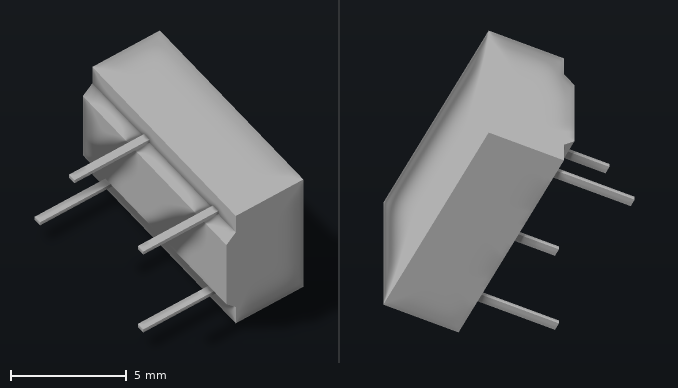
import cadquery as cq

BODY_LENGTH = 10.6
BODY_DEPTH = 3.6
BODY_HEIGHT = 7.0

RAIL_RISE = 0.5
RAIL_BASE_HEIGHT = 4.86
RAIL_TOP_HEIGHT = RAIL_BASE_HEIGHT - 2 * RAIL_RISE

PITCH = 2.54
PIN_WIDTH = 0.4
PIN_THICKNESS = 0.2
PIN_LENGTH = 4.0
PIN_ROOT = 0.5
UPPER_PIN_X = (-0.5 * PITCH, 1.5 * PITCH)
LOWER_PIN_X = (-1.5 * PITCH, 1.5 * PITCH)

PINNED_FACE_Y = 0.0


def make_housing():
    """Block and rail as one profile in YZ, extruded symmetrically along X."""
    back_y = PINNED_FACE_Y + BODY_DEPTH
    rail_y = PINNED_FACE_Y - RAIL_RISE
    profile = [
        (back_y, -BODY_HEIGHT / 2),
        (back_y, BODY_HEIGHT / 2),
        (PINNED_FACE_Y, BODY_HEIGHT / 2),
        (PINNED_FACE_Y, RAIL_BASE_HEIGHT / 2),
        (rail_y, RAIL_TOP_HEIGHT / 2),
        (rail_y, -RAIL_TOP_HEIGHT / 2),
        (PINNED_FACE_Y, -RAIL_BASE_HEIGHT / 2),
        (PINNED_FACE_Y, -BODY_HEIGHT / 2),
    ]
    return cq.Workplane("YZ").polyline(profile).close().extrude(BODY_LENGTH / 2, both=True)


def make_pin(x, z):
    """Straight flat pin centred on (x, z), rooted inside the housing."""
    length = PIN_LENGTH + PIN_ROOT
    center_y = PINNED_FACE_Y + PIN_ROOT - length / 2
    return cq.Workplane("XY").box(PIN_WIDTH, length, PIN_THICKNESS).translate((x, center_y, z))


result = make_housing()
for row_z, row_x in ((PITCH, UPPER_PIN_X), (-PITCH, LOWER_PIN_X)):
    for pin_x in row_x:
        result = result.union(make_pin(pin_x, row_z))